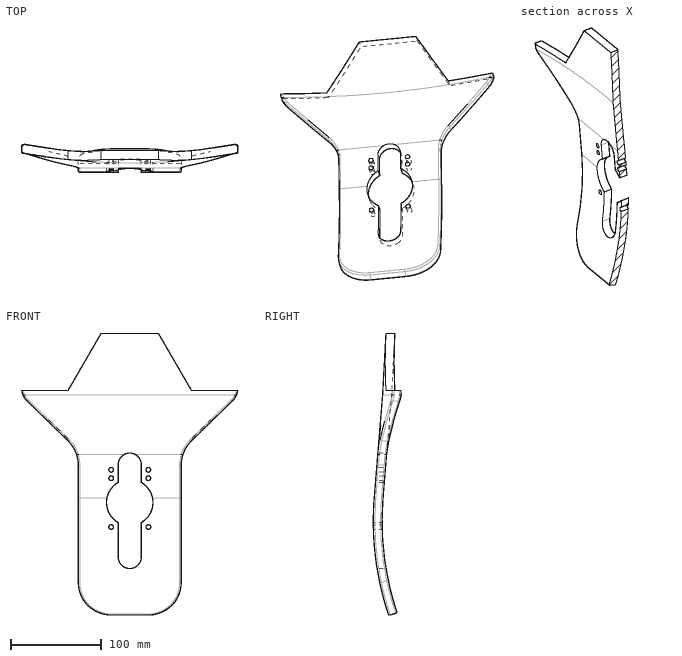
import cadquery as cq
import math

thickness = 10.0
height = 311.5
edge_radius = 2.0
cut_depth = 62.3

leg_width = 114.0
bend_radius = 323.8
bend_top_z = 129.5
lean = math.radians(4.6)
leg_corner_radius = 37.5
seam_z = 177.5

crease_z = 243.2
crease_front_y = 10.3
sheet_half_width = 140.0
crease_bow_radius = 622.7
wing_middle_bow_radius = 887.5
tab_front_y = 14.0
tab_half_width = 31.8
tab_base_half_width = 68.2
wing_top_z = 248.5
wing_span = 238.8
wing_tip_start = (113.3, 236.5)
wing_slope = math.radians(44.3)
neck_radius = 37.5

slot_width = 25.2
slot_bottom_z = 51.7
slot_top_z = 179.0
round_opening_diameter = 51.0
round_opening_z = 124.5
hole_diameter = 5.0
hole_x = 20.5
hole_heights = (97.5, 151.3, 160.7)

bend_center_z = bend_top_z - bend_radius * math.sin(lean)
rounding_radius = math.hypot(bend_radius - edge_radius, edge_radius)
rounding_angle = math.atan2(edge_radius, bend_radius - edge_radius)
bend_end_angle = rounding_angle + math.asin((bend_center_z - edge_radius) / rounding_radius)
seam_front_y = (
    bend_radius * (1 - math.cos(lean))
    + (seam_z - bend_top_z) * math.tan(lean)
)
thickness_along_y = thickness / math.cos(lean)

half_leg = leg_width / 2
turn = math.pi / 2 - wing_slope
wing_run = (wing_tip_start[0] - half_leg) * math.tan(wing_slope)
corner_z = wing_tip_start[1] - wing_run
tangent_length = neck_radius * math.tan(turn / 2)
neck_start = (half_leg, corner_z - tangent_length)
neck_end = (
    half_leg + tangent_length * math.cos(wing_slope),
    corner_z + tangent_length * math.sin(wing_slope),
)
neck_middle = (
    half_leg + neck_radius * (1 - math.cos(turn / 2)),
    neck_start[1] + neck_radius * math.sin(turn / 2),
)


def bend_point(radius, angle):
    """(Y, Z) on an arc about the bend centre; the angle is positive upwards."""
    return (
        bend_radius - radius * math.cos(angle),
        bend_center_z + radius * math.sin(angle),
    )


def make_leg():
    inner_radius = bend_radius - thickness
    middle_angle = (lean - bend_end_angle) / 2
    leg = (
        cq.Workplane("YZ")
        .moveTo(seam_front_y, seam_z)
        .lineTo(*bend_point(bend_radius, lean))
        .threePointArc(
            bend_point(bend_radius, middle_angle),
            bend_point(bend_radius, -bend_end_angle),
        )
        .lineTo(*bend_point(inner_radius, -bend_end_angle))
        .threePointArc(
            bend_point(inner_radius, middle_angle),
            bend_point(inner_radius, lean),
        )
        .lineTo(seam_front_y + thickness_along_y, seam_z)
        .close()
        .extrude(half_leg, both=True)
    )
    return leg.faces("<Z").edges("<X or >X").fillet(leg_corner_radius)


def straight_section(z, front_y, depth):
    corners = [
        cq.Vector(-sheet_half_width, front_y, z),
        cq.Vector(sheet_half_width, front_y, z),
        cq.Vector(sheet_half_width, front_y + depth, z),
        cq.Vector(-sheet_half_width, front_y + depth, z),
    ]
    return cq.Wire.makePolygon(corners, close=True)


def bowed_section(z, front_y, depth, bow_radius):
    bow = bow_radius - math.sqrt(bow_radius**2 - sheet_half_width**2)
    back_y = front_y + depth
    front_left = cq.Vector(-sheet_half_width, front_y + bow, z)
    front_right = cq.Vector(sheet_half_width, front_y + bow, z)
    back_right = cq.Vector(sheet_half_width, back_y + bow, z)
    back_left = cq.Vector(-sheet_half_width, back_y + bow, z)
    front_middle = cq.Vector(0, front_y, z)
    back_middle = cq.Vector(0, back_y, z)
    return cq.Wire.assembleEdges([
        cq.Edge.makeThreePointArc(front_left, front_middle, front_right),
        cq.Edge.makeLine(front_right, back_right),
        cq.Edge.makeThreePointArc(back_right, back_middle, back_left),
        cq.Edge.makeLine(back_left, front_left),
    ])


def make_root():
    """Flat, leaning band between the straight sides of the leg and the seam."""
    root_front_y = seam_front_y - (seam_z - neck_start[1]) * math.tan(lean)
    bottom = straight_section(neck_start[1], root_front_y, thickness_along_y)
    seam = straight_section(seam_z, seam_front_y, thickness_along_y)
    return cq.Workplane(cq.Solid.makeLoft([bottom, seam], True))


def make_wings():
    seam = straight_section(seam_z, seam_front_y, thickness_along_y)
    middle = bowed_section(
        (seam_z + crease_z) / 2,
        (seam_front_y + crease_front_y) / 2,
        thickness,
        wing_middle_bow_radius,
    )
    crease = bowed_section(crease_z, crease_front_y, thickness, crease_bow_radius)
    return cq.Workplane(cq.Solid.makeLoft([seam, middle, crease]))


def make_tab():
    crease = bowed_section(crease_z, crease_front_y, thickness, crease_bow_radius)
    top = straight_section(height, tab_front_y, thickness)
    return cq.Workplane(cq.Solid.makeLoft([crease, top], True))


def make_outline():
    """Block with the front outline of the tab, wings and necks."""
    return (
        cq.Workplane("XZ")
        .moveTo(0, -height)
        .lineTo(half_leg, -height)
        .lineTo(*neck_start)
        .threePointArc(neck_middle, neck_end)
        .lineTo(*wing_tip_start)
        .tangentArcPoint((wing_span / 2, wing_top_z), relative=False)
        .lineTo(tab_base_half_width, wing_top_z)
        .lineTo(tab_half_width, height)
        .lineTo(0, height)
        .mirrorY()
        .extrude(cut_depth, both=True)
    )


def cut_openings(body):
    slot_height = slot_top_z - slot_bottom_z
    slot = (
        cq.Workplane("XZ")
        .center(0, (slot_top_z + slot_bottom_z) / 2)
        .slot2D(slot_height, slot_width, 90)
        .extrude(cut_depth, both=True)
    )
    opening = (
        cq.Workplane("XZ")
        .center(0, round_opening_z)
        .circle(round_opening_diameter / 2)
        .extrude(cut_depth, both=True)
    )
    hole_centers = [(side * hole_x, z) for side in (-1, 1) for z in hole_heights]
    holes = (
        cq.Workplane("XZ")
        .pushPoints(hole_centers)
        .circle(hole_diameter / 2)
        .extrude(cut_depth, both=True)
    )
    return body.cut(slot).cut(opening).cut(holes)


def round_rim(piece):
    """Round the front and back edges along the outline of a piece."""
    level_tolerance = 0.03
    rim = []
    for edge in piece.edges().vals():
        box = edge.BoundingBox()
        crosses_thickness = edge.Length() < 2 * thickness and edge.geomType() == "LINE"
        is_level = box.zlen < level_tolerance and box.zmin > leg_corner_radius
        on_tab = box.zmax > wing_top_z + edge_radius
        if not (crosses_thickness or is_level or on_tab):
            rim.append(edge)
    return piece.newObject(rim).fillet(edge_radius)


outline = make_outline()
leg = round_rim(make_leg().union(make_root().intersect(outline)).clean())
wings = round_rim(make_wings().intersect(outline))
tab = round_rim(make_tab().intersect(outline))
result = cut_openings(leg.union(wings).union(tab))